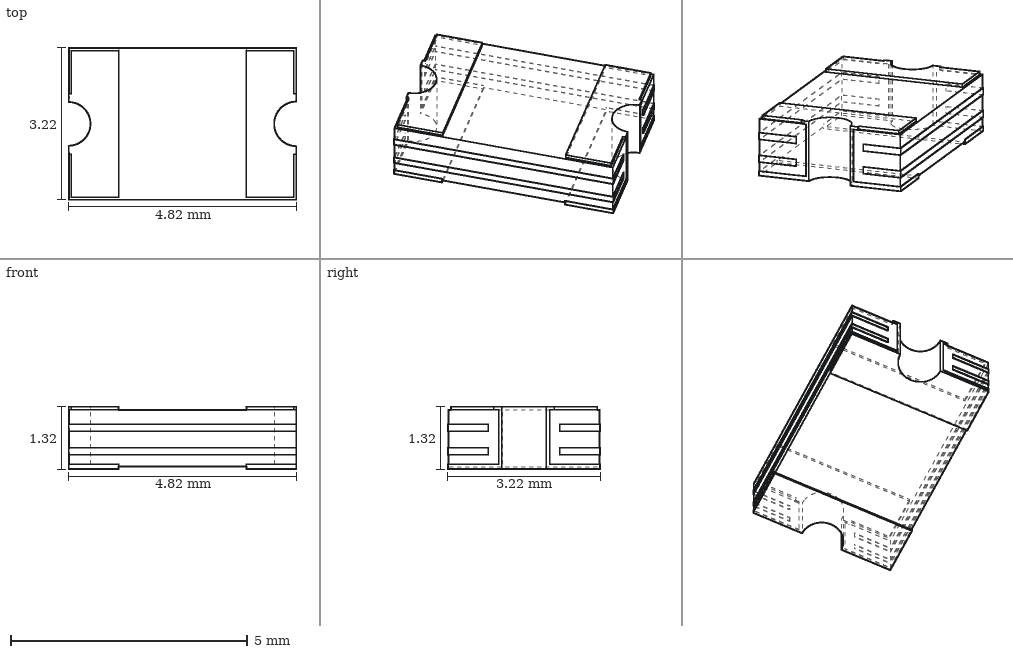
import cadquery as cq

overall_length = 4.82
overall_width = 3.22
overall_height = 1.32

metal_protrusion = 0.01
core_length = overall_length - 2 * metal_protrusion
core_width = overall_width - 2 * metal_protrusion
core_bottom = 0.05
core_height = 1.2
core_top = core_bottom + core_height

bottom_pad_height = 0.1
pad_inner_x = 1.35
top_pad_setback = 0.06
top_pad_outer_x = overall_length / 2 - top_pad_setback
top_pad_width = overall_width - 2 * top_pad_setback
top_tab_width = 1.28

left_notch_radius = 0.46
right_notch_radius = 0.47
plating_thickness = 0.08
plating_width = 2 * (left_notch_radius + plating_thickness)

strip_height = 0.15
strip_inner_y = 0.76
lower_strip_bottom = 0.3
strip_pitch = 0.5
strip_layers = 2


def block(x_range, y_range, z_range):
    """Axis-aligned box spanning the given (low, high) ranges."""
    x_low, x_high = x_range
    y_low, y_high = y_range
    z_low, z_high = z_range
    box = cq.Workplane("XY").box(x_high - x_low, y_high - y_low, z_high - z_low, centered=False)
    return box.translate((x_low, y_low, z_low))


def centred(size):
    """Range of the given size centred on zero."""
    return (-size / 2, size / 2)


def core():
    return block(centred(core_length), centred(core_width), (core_bottom, core_top))


def electrode_strip(layer):
    """Front strip of one layer, running the full length of the chip."""
    bottom = lower_strip_bottom + layer * strip_pitch
    y_range = (-overall_width / 2, -strip_inner_y)
    return block(centred(overall_length), y_range, (bottom, bottom + strip_height))


def terminal(notch_radius):
    """Metal of the +X end: bottom pad, top pad with its tab, and plated notch wall."""
    end_x = overall_length / 2
    top_z = (core_top, overall_height)
    bottom_pad = block((pad_inner_x, end_x), centred(overall_width), (0, bottom_pad_height))
    top_pad = block((pad_inner_x, top_pad_outer_x), centred(top_pad_width), top_z)
    top_tab = block((pad_inner_x, end_x), centred(top_tab_width), top_z)
    plating_x = (end_x - notch_radius - plating_thickness, end_x)
    plating = block(plating_x, centred(plating_width), (0, overall_height))
    return bottom_pad.union(top_pad).union(top_tab).union(plating)


def notch(x, radius):
    return cq.Workplane("XY").center(x, 0).circle(radius).extrude(overall_height)


result = core()
for layer in range(strip_layers):
    front_strip = electrode_strip(layer)
    result = result.union(front_strip).union(front_strip.mirror("XZ"))
result = result.union(terminal(right_notch_radius))
result = result.union(terminal(left_notch_radius).mirror("YZ"))
result = result.cut(notch(overall_length / 2, right_notch_radius))
result = result.cut(notch(-overall_length / 2, left_notch_radius))